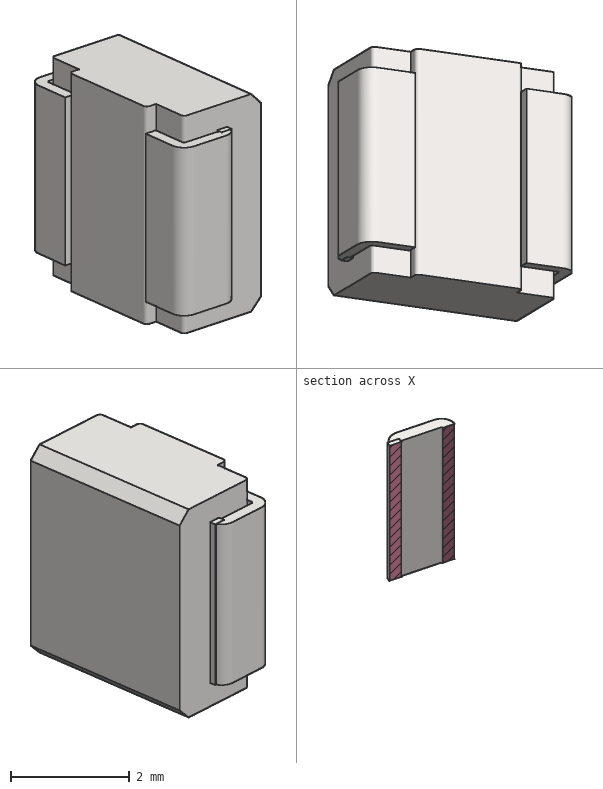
import cadquery as cq

overall_width = 4.0
overall_depth = 2.0
overall_height = 4.0
back_y = overall_depth / 2
front_y = -overall_depth / 2

housing_width = 3.44
shoulder_depth = 1.73
housing_depth = 1.95
boss_width = 2.0
back_chamfer = 0.225
edge_radius = 0.075

sheet = 0.225
inner_bend_radius = 0.04
outer_bend_radius = inner_bend_radius + sheet
terminal_height = 3.09
foot_length = 0.95
rear_edge_offset = 0.76

rib_width = 0.12


def make_rib(side):
    """Rectangular rib beside the housing, as tall as the terminals; side is -1 or 1."""
    rib_x = side * (housing_width + rib_width) / 2
    rib_y = back_y - rear_edge_offset - sheet / 2
    return cq.Workplane("XY").box(rib_width, sheet, terminal_height).translate((rib_x, rib_y, 0))


def make_housing():
    """Block with a full-height front boss, two chamfered back edges and a rib on each side."""
    shoulder_y = back_y - shoulder_depth
    block = cq.Workplane("XY").box(housing_width, shoulder_depth, overall_height)
    block = block.translate((0, back_y - shoulder_depth / 2, 0))
    block = block.edges("|Z and <Y").fillet(edge_radius)
    block = block.edges("|X and >Y").chamfer(back_chamfer)

    boss_front_y = back_y - housing_depth
    boss_root_y = shoulder_y + edge_radius
    boss = cq.Workplane("XY").box(boss_width, boss_root_y - boss_front_y, overall_height)
    boss = boss.translate((0, (boss_root_y + boss_front_y) / 2, 0))
    boss = boss.edges("|Z and <Y").fillet(edge_radius)
    housing_body = block.union(boss)
    for side in (-1, 1):
        housing_body = housing_body.union(make_rib(side))
    return housing_body


def make_terminal(side):
    """Bent strip with a front foot, a side arm and a rear bend notched for the rib; side is -1 or 1."""
    outer_x = overall_width / 2
    inner_x = outer_x - sheet
    housing_x = housing_width / 2
    foot_end_x = outer_x - foot_length
    rear_back_y = back_y - rear_edge_offset
    rear_front_y = rear_back_y - sheet
    foot_back_y = front_y + sheet
    rear_bend_y = rear_back_y - outer_bend_radius
    foot_bend_y = front_y + outer_bend_radius
    bend_x = outer_x - outer_bend_radius

    terminal = (
        cq.Workplane("XY", origin=(0, 0, -terminal_height / 2))
        .moveTo(housing_x, rear_back_y)
        .lineTo(bend_x, rear_back_y)
        .tangentArcPoint((outer_x, rear_bend_y), relative=False)
        .lineTo(outer_x, foot_bend_y)
        .tangentArcPoint((bend_x, front_y), relative=False)
        .lineTo(foot_end_x, front_y)
        .lineTo(foot_end_x, foot_back_y)
        .lineTo(bend_x, foot_back_y)
        .tangentArcPoint((inner_x, foot_bend_y), relative=False)
        .lineTo(inner_x, rear_bend_y)
        .tangentArcPoint((bend_x, rear_front_y), relative=False)
        .lineTo(housing_x, rear_front_y)
        .close()
        .extrude(terminal_height)
    )

    terminal = terminal if side > 0 else terminal.mirror("YZ")
    return terminal.cut(make_rib(side))


housing = make_housing()
terminals = [make_terminal(side) for side in (-1, 1)]

result = cq.Compound.makeCompound([housing.val(), *[terminal.val() for terminal in terminals]])